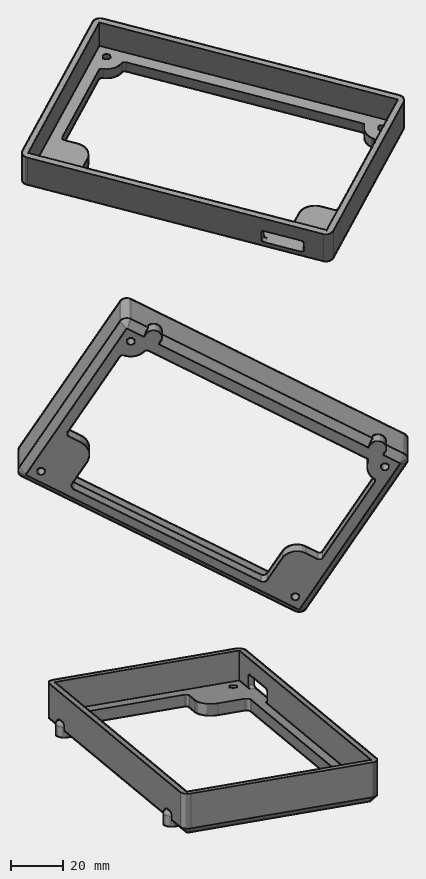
import cadquery as cq

length = 127.5
width = 82.9
height = 17.3
wall = 2.5
floor_thickness = 5.0
corner_radius = 3.0
bottom_chamfer = 2.9

side_margin = 7.1
rear_margin = 7.5
front_margin = 6.6
tab_length = 20.4
tab_width = 26.4
tab_radius = 6.6
tab_foot_radius = 1.8

hole_diameter = 3.0
hole_inset = 7.3
lug_radius = 6.9
blend_radius = 1.3
selection_margin = 1.3

port_length = 17.5
port_height = 5.9
port_center_x = 44.1
port_center_z = floor_thickness + port_height / 2
port_radius = 1.3

post_radius = 3.3
post_height = 6.0
post_protrusion = 1.9
post_spacing = 99.7
post_root_depth = 6.4
post_top_radius = 1.5

rear_y = width / 2
front_y = -width / 2
hole_x = length / 2 - hole_inset
hole_y = width / 2 - hole_inset


def make_shell():
    """Solid block with rounded corners and a chamfered underside."""
    block = cq.Workplane("XY").box(length, width, height, centered=(True, True, False))
    return block.edges("|Z").fillet(corner_radius).faces("<Z").edges().chamfer(bottom_chamfer)


def make_post(x):
    """Post with a half-round rear end, rooted in the rear wall and floor."""
    center_y = rear_y + post_protrusion - post_radius
    post = (
        cq.Workplane("XY")
        .moveTo(x - post_radius, rear_y - post_root_depth)
        .lineTo(x + post_radius, rear_y - post_root_depth)
        .lineTo(x + post_radius, center_y)
        .threePointArc((x, center_y + post_radius), (x - post_radius, center_y))
        .close()
        .extrude(post_height)
    )
    return post.faces(">Z").edges().fillet(post_top_radius)


def make_cavity():
    """Square-cornered space above the floor."""
    return (
        cq.Workplane("XY")
        .workplane(offset=floor_thickness)
        .rect(length - 2 * wall, width - 2 * wall)
        .extrude(height)
    )


def edge_zone(half_span, low_y, high_y):
    """Selector for floor edges within a span centered on X, plus a small margin."""
    reach = half_span + selection_margin
    return cq.selectors.BoxSelector(
        (-reach, low_y - selection_margin, 0),
        (reach, high_y + selection_margin, floor_thickness),
    )


def make_floor_opening():
    """Floor cutout, leaving front corner tabs and rear screw lugs."""
    side_x = length / 2 - side_margin
    tab_x = length / 2 - tab_length
    tab_y = front_y + tab_width
    opening_front = front_y + front_margin
    opening_rear = rear_y - rear_margin
    opening = (
        cq.Workplane("XY")
        .moveTo(-tab_x, opening_front)
        .lineTo(tab_x, opening_front)
        .lineTo(tab_x, tab_y)
        .lineTo(side_x, tab_y)
        .lineTo(side_x, opening_rear)
        .lineTo(-side_x, opening_rear)
        .lineTo(-side_x, tab_y)
        .lineTo(-tab_x, tab_y)
        .close()
        .extrude(floor_thickness)
    )
    tab_corners = edge_zone(tab_x, tab_y, tab_y)
    tab_roots = edge_zone(side_x, tab_y, tab_y) - tab_corners
    opening = opening.edges("|Z").edges(tab_corners).fillet(tab_radius)
    opening = opening.edges("|Z").edges(tab_roots).fillet(blend_radius)
    opening = opening.edges("|Z and <Y").fillet(tab_foot_radius)
    lugs = (
        cq.Workplane("XY")
        .pushPoints([(-hole_x, hole_y), (hole_x, hole_y)])
        .circle(lug_radius)
        .extrude(floor_thickness)
    )
    opening = opening.cut(lugs)
    lug_zone = edge_zone(side_x, hole_y - lug_radius, opening_rear)
    return opening.edges("|Z").edges(lug_zone).fillet(blend_radius)


def make_screw_holes():
    """One through hole near each corner of the floor."""
    return (
        cq.Workplane("XY")
        .rect(2 * hole_x, 2 * hole_y, forConstruction=True)
        .vertices()
        .circle(hole_diameter / 2)
        .extrude(floor_thickness)
    )


def make_port():
    """Rounded rectangular window through the front wall."""
    port = cq.Workplane("XY").box(port_length, 2 * wall, port_height).edges("|Y").fillet(port_radius)
    return port.translate((port_center_x, front_y, port_center_z))


result = make_shell()
for post_x in (-post_spacing / 2, post_spacing / 2):
    result = result.union(make_post(post_x))
result = result.cut(make_cavity())
result = result.cut(make_floor_opening())
result = result.cut(make_screw_holes())
result = result.cut(make_port())